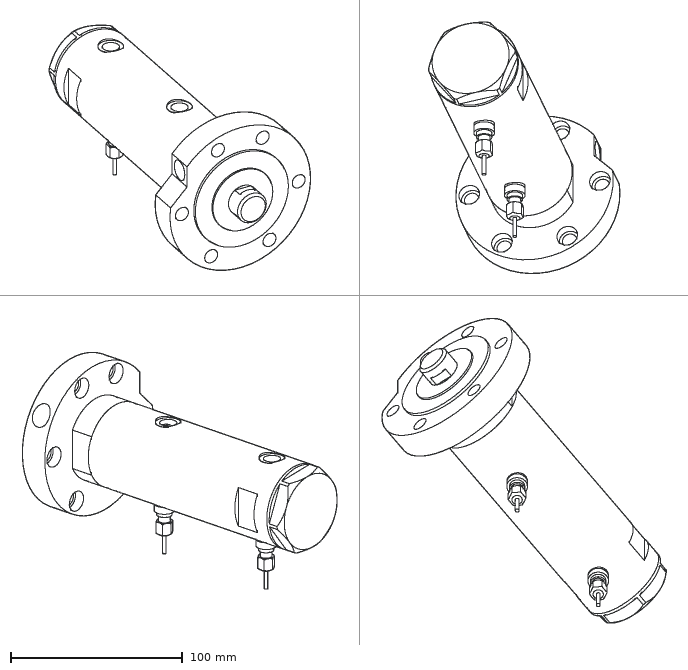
import cadquery as cq
import math


HEXAGON_HALF_ANGLE = math.radians(30)
BODY_RADIUS = 26.0
BORE_RADIUS = 16.0
FLAT_HALF_WIDTH = 23.0

HEX_END = 9.1
TUBE_START = 11.0
TUBE_FLAT_START = 21.0
TUBE_FLAT_LENGTH = 15.0
HEAD_START = 151.0
FLANGE_START = 166.1
FLANGE_THICKNESS = 17.7
FLANGE_END = FLANGE_START + FLANGE_THICKNESS
SPIGOT_HEIGHT = 1.8
SPIGOT_END = FLANGE_END + SPIGOT_HEIGHT
GLAND_PROTRUSION = 1.2
GLAND_END = SPIGOT_END + GLAND_PROTRUSION
ROD_END = 199.02

PORT_POSITIONS = (30.4, 111.8)
PORT_RADIUS = 5.0
PORT_SPOTFACE_RADIUS = 7.5
PORT_SPOTFACE_Z = 24.8

SENSOR_POSITIONS = (35.0, 114.8)
SENSOR_SEAT_Z = -27.0
SENSOR_HEAD_RADIUS = 6.0
SENSOR_HEAD_BOTTOM = -31.3
SENSOR_STEP_RADIUS = 4.5
SENSOR_STEP_BOTTOM = -34.0
SENSOR_NECK_RADIUS = 3.5
NUT_TOP = -37.8
NUT_BOTTOM = -46.3
NUT_WIDTH = 9.0
NUT_TOP_CHAMFER = 0.6
NUT_CONE_HEIGHT = 1.4
NUT_CONE_RUN = 2.2
CABLE_RADIUS = 1.1
CABLE_END = -58.3

CAP_HEX_CORNER_ANGLE = 7.5
CAP_CHAMFER = 3.0
CAP_PLUG_END = 23.0

GLAND_RADIUS = 20.0
GLAND_SEAT_RADIUS = 22.0
GLAND_START = 114.8

ROD_RADIUS = 9.6
PISTON_LENGTH = 35.0
ROD_TIP_CHAMFER = 1.5
ROD_FLAT_HALF_WIDTH = 8.0
ROD_FLAT_END = 192.6

FLANGE_RADIUS = 47.0
SPIGOT_RADIUS = 31.1
BOLT_CIRCLE_RADIUS = 39.0
BOLT_ANGLES = (0, 67.5, 112.5, 180, 240, 300)
BOLT_RADIUS = 4.3
COUNTERBORE_RADIUS = 6.1
COUNTERBORE_DEPTH = 6.3
NOTCH_Y = -35.6
NOTCH_CORNER_Z = 17.2
CROSS_HOLE_RADIUS = 6.15
CROSS_HOLE_Z = 24.0


def x_cylinder(radius, start, end, y=0, z=0):
    return cq.Workplane("YZ", origin=(start, y, z)).circle(radius).extrude(end - start)


def z_cylinder(radius, x, bottom, top):
    return cq.Workplane("XY", origin=(x, 0, bottom)).circle(radius).extrude(top - bottom)


def cut_side_flats(body, start, length):
    """Cut a pair of flats, facing +Y and -Y, over a length of the round body."""
    size = 2 * BODY_RADIUS
    for side in (-1, 1):
        block = cq.Workplane("XY").box(length, size, size, centered=(False, True, True))
        body = body.cut(block.translate((start, side * (FLAT_HALF_WIDTH + BODY_RADIUS), 0)))
    return body


def make_cap():
    """Hexagon with rounded corners, a round collar and a plug that closes the bore."""
    corner_diameter = 2 * FLAT_HALF_WIDTH / math.cos(HEXAGON_HALF_ANGLE)
    hexagon = cq.Workplane("YZ").polygon(6, corner_diameter).extrude(HEX_END)
    hexagon = hexagon.rotate((0, 0, 0), (1, 0, 0), -CAP_HEX_CORNER_ANGLE)
    rounding = x_cylinder(BODY_RADIUS, 0, HEX_END).faces("<X").chamfer(CAP_CHAMFER)
    collar = x_cylinder(BODY_RADIUS, HEX_END, TUBE_START)
    plug = x_cylinder(BORE_RADIUS, TUBE_START, CAP_PLUG_END)
    return hexagon.intersect(rounding).union(collar).union(plug)


def make_tube():
    """Cylinder tube with its wrench flats, sensor seats, oil ports and stepped bore."""
    tube = x_cylinder(BODY_RADIUS, TUBE_START, HEAD_START)
    tube = cut_side_flats(tube, TUBE_FLAT_START, TUBE_FLAT_LENGTH)
    for x in SENSOR_POSITIONS:
        tube = tube.union(z_cylinder(SENSOR_HEAD_RADIUS, x, SENSOR_SEAT_Z, -GLAND_SEAT_RADIUS))
    for x in PORT_POSITIONS:
        tube = tube.cut(z_cylinder(PORT_SPOTFACE_RADIUS, x, PORT_SPOTFACE_Z, BODY_RADIUS))
        tube = tube.cut(z_cylinder(PORT_RADIUS, x, 0, BODY_RADIUS))
    tube = tube.cut(x_cylinder(GLAND_SEAT_RADIUS, GLAND_START, HEAD_START))
    return tube.cut(x_cylinder(BORE_RADIUS, TUBE_START, GLAND_START))


def cut_notch(head):
    """Cut the step in the flange edge: a vertical face, then a 45 degree slope down to the rim."""
    outside = FLANGE_RADIUS
    slope_run = outside + NOTCH_Y
    notch = (
        cq.Workplane("YZ", origin=(FLANGE_START, 0, 0))
        .moveTo(NOTCH_Y, outside)
        .lineTo(NOTCH_Y, NOTCH_CORNER_Z)
        .lineTo(-outside, NOTCH_CORNER_Z - slope_run)
        .lineTo(-outside, outside)
        .close()
        .extrude(FLANGE_THICKNESS)
    )
    return head.cut(notch)


def make_head():
    """Neck and mounting flange with a front spigot, bolt holes and a cross hole."""
    neck = x_cylinder(BODY_RADIUS, HEAD_START, FLANGE_START)
    head = cut_side_flats(neck, HEAD_START, FLANGE_START - HEAD_START)
    head = head.union(x_cylinder(FLANGE_RADIUS, FLANGE_START, FLANGE_END))
    head = cut_notch(head)
    head = head.union(x_cylinder(SPIGOT_RADIUS, FLANGE_END, SPIGOT_END))
    for angle in BOLT_ANGLES:
        y = BOLT_CIRCLE_RADIUS * math.cos(math.radians(angle))
        z = BOLT_CIRCLE_RADIUS * math.sin(math.radians(angle))
        head = head.cut(x_cylinder(BOLT_RADIUS, FLANGE_START, FLANGE_END, y, z))
        counterbore_end = FLANGE_START + COUNTERBORE_DEPTH
        head = head.cut(x_cylinder(COUNTERBORE_RADIUS, FLANGE_START, counterbore_end, y, z))
    cross_hole = (
        cq.Workplane("XZ", origin=((FLANGE_START + FLANGE_END) / 2, 0, CROSS_HOLE_Z))
        .circle(CROSS_HOLE_RADIUS)
        .extrude(FLANGE_RADIUS, both=True)
    )
    return head.cut(cross_hole).cut(x_cylinder(GLAND_RADIUS, HEAD_START, SPIGOT_END))


def make_gland():
    """Stepped bush that guides the rod."""
    gland = x_cylinder(GLAND_SEAT_RADIUS, GLAND_START, HEAD_START)
    gland = gland.union(x_cylinder(GLAND_RADIUS, HEAD_START, GLAND_END))
    return gland.cut(x_cylinder(ROD_RADIUS, GLAND_START, GLAND_END))


def make_rod():
    """Piston and rod in one piece, with two wrench flats behind the tip of the rod."""
    piston_end = CAP_PLUG_END + PISTON_LENGTH
    rod = x_cylinder(ROD_RADIUS, piston_end, ROD_END).faces(">X").chamfer(ROD_TIP_CHAMFER)
    flat_length = ROD_FLAT_END - GLAND_END
    for side in (-1, 1):
        block = cq.Workplane("XY").box(
            flat_length, 2 * ROD_RADIUS, ROD_RADIUS, centered=(False, True, True)
        )
        rod = rod.cut(block.translate((GLAND_END, 0, side * (ROD_FLAT_HALF_WIDTH + ROD_RADIUS / 2))))
    return rod.union(x_cylinder(BORE_RADIUS, CAP_PLUG_END, piston_end))


def make_sensor(x):
    """Stepped round sensor with a hexagon nut and a cable, hanging below the tube."""
    head = z_cylinder(SENSOR_HEAD_RADIUS, x, SENSOR_HEAD_BOTTOM, SENSOR_SEAT_Z)
    step = z_cylinder(SENSOR_STEP_RADIUS, x, SENSOR_STEP_BOTTOM, SENSOR_HEAD_BOTTOM)
    neck = z_cylinder(SENSOR_NECK_RADIUS, x, NUT_TOP, SENSOR_STEP_BOTTOM)
    cable = z_cylinder(CABLE_RADIUS, x, CABLE_END, NUT_BOTTOM)

    corner_radius = NUT_WIDTH / 2 / math.cos(HEXAGON_HALF_ANGLE)
    nut = cq.Workplane("XY", origin=(x, 0, NUT_BOTTOM)).polygon(6, 2 * corner_radius)
    nut = nut.extrude(NUT_TOP - NUT_BOTTOM)
    rounding = z_cylinder(corner_radius, x, NUT_BOTTOM, NUT_TOP)
    rounding = rounding.faces(">Z").chamfer(NUT_TOP_CHAMFER)
    rounding = rounding.faces("<Z").chamfer(NUT_CONE_HEIGHT, NUT_CONE_RUN)
    return head.union(step).union(neck).union(nut.intersect(rounding)).union(cable)


cap = make_cap()
tube = make_tube()
head = make_head()
gland = make_gland()
rod = make_rod()
sensors = [make_sensor(x) for x in SENSOR_POSITIONS]

result = cq.Compound.makeCompound(
    [cap.val(), tube.val(), head.val(), gland.val(), rod.val()] + [sensor.val() for sensor in sensors]
)